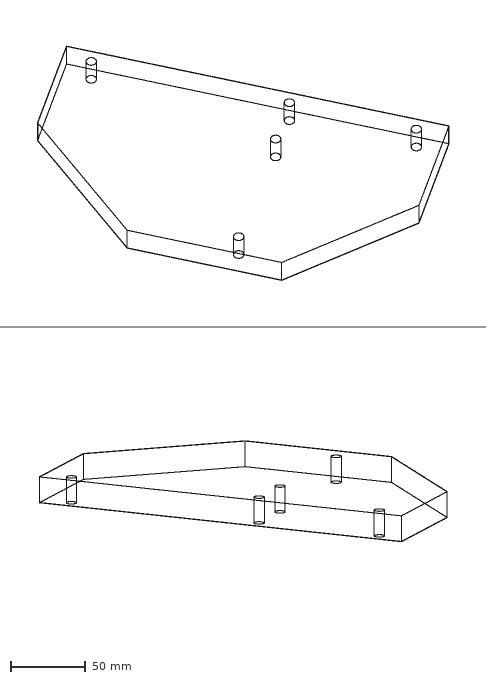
import cadquery as cq

length = 268.0
depth = 150.0
thickness = 18.0

left_clip_x = 84.7
left_clip_y = 77.7
right_clip = 75.0

hole_diameter = 7.0
back_row_inset = 8.8
left_hole_x = 19.8
right_hole_inset = 20.5
middle_column_x = 158.7
middle_hole_inset = 43.1
front_hole_y = 14.7

back_row_y = depth - back_row_inset
hole_centers = [
    (left_hole_x, back_row_y),
    (middle_column_x, back_row_y),
    (length - right_hole_inset, back_row_y),
    (middle_column_x, depth - middle_hole_inset),
    (middle_column_x, front_hole_y),
]

outline = [
    (left_clip_x, 0),
    (length - right_clip, 0),
    (length, right_clip),
    (length, depth),
    (0, depth),
    (0, left_clip_y),
]

plate = cq.Workplane("XY").polyline(outline).close().extrude(thickness)

holes = (
    cq.Workplane("XY")
    .pushPoints(hole_centers)
    .circle(hole_diameter / 2)
    .extrude(thickness)
)

result = plate.cut(holes)